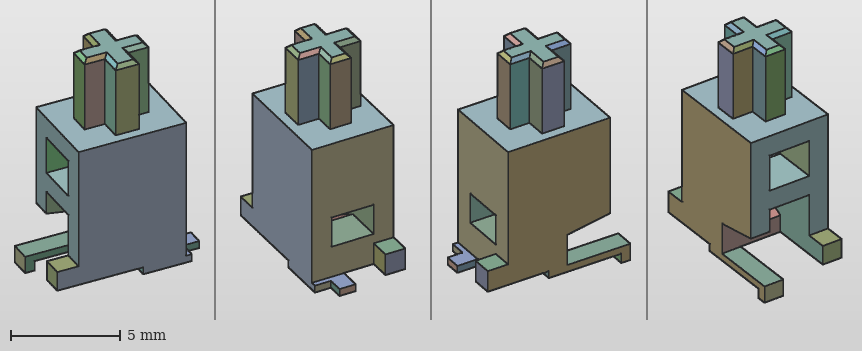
import cadquery as cq
import math

width = 4.3
depth = 7.7
height = 11.8

body_depth = 5.52
body_top = 8.08
body_bottom = 0.88
side_wall = 1.05
left = -width / 2
right = width / 2
body_front = -body_depth / 2
body_back = body_depth / 2
opening_width = width - 2 * side_wall
opening_left = left + side_wall
opening_right = right - side_wall

foot_length = (depth - body_depth) / 2
front_foot_top = 1.9
back_foot_top = 2.01

window_bottom = 5.12
window_top = 7.02
window_ramp_rise = 0.6
passage_top = 4.1
sill_front = -0.45
sill_bottom = 1.78
sill_top = 2.51
ramp_angle = math.radians(30)

notch_back_top = 2.51
notch_front_top = 2.9

contact_bottom = 0.51
contact_start = 0.55
hook_length = 0.5
jog_left = 0.46
jog_width = 0.85
jog_start = 1.57
outer_strip_end = 3.05

plunger_span = 3.28
x_arm_width = 1.2
y_arm_width = 1.11
plunger_chamfer = 0.2


def block(x_range, y_range, z_range):
    """Axis-aligned box between the given limits."""
    sizes = [end - start for start, end in (x_range, y_range, z_range)]
    corner = (x_range[0], y_range[0], z_range[0])
    return cq.Workplane("XY").box(*sizes, centered=False).translate(corner)


def side_profile(points, x_start, x_length):
    """Prism along +X from an outline of (y, z) points."""
    return cq.Workplane("YZ", origin=(x_start, 0, 0)).polyline(points).close().extrude(x_length)


def ramp_length(rise):
    return rise / math.tan(ramp_angle)


def make_body():
    body = block((left, right), (body_front, body_back), (body_bottom, body_top))
    front_foot = block((opening_right, right), (body_front - foot_length, body_front), (body_bottom, front_foot_top))
    back_foot = block((left, opening_left), (body_back, body_back + foot_length), (body_bottom, back_foot_top))
    return body.union(front_foot).union(back_foot)


def window_cutter():
    """Blind window with a flat floor that ramps up to its back wall."""
    window_back = sill_front + ramp_length(window_ramp_rise)
    outline = [
        (body_front, window_bottom),
        (sill_front, window_bottom),
        (window_back, window_bottom + window_ramp_rise),
        (window_back, window_top),
        (body_front, window_top),
    ]
    return side_profile(outline, opening_left, opening_width)


def passage_cutter():
    """Through opening above a ramped sill, open at the bottom in front of the sill."""
    outline = [
        (body_front, body_bottom),
        (sill_front, body_bottom),
        (sill_front, sill_bottom),
        (sill_front + ramp_length(sill_top - sill_bottom), sill_top),
        (body_back, sill_top),
        (body_back, passage_top),
        (body_front, passage_top),
    ]
    return side_profile(outline, opening_left, opening_width)


def notch_cutter():
    """Cutaway with a sloping ceiling in the front of the left wall."""
    outline = [
        (body_front, body_bottom),
        (sill_front, body_bottom),
        (sill_front, notch_back_top),
        (body_front, notch_front_top),
    ]
    return side_profile(outline, left, side_wall)


def make_contacts():
    strip_z = (contact_bottom, body_bottom)
    front_strip = block((left, opening_left), (-depth / 2, contact_start), strip_z)
    hook = block((left, opening_left), (-depth / 2, -depth / 2 + hook_length), (0, body_bottom))
    back_strip = block((opening_right, right), (contact_start, outer_strip_end), strip_z)
    jog = block((jog_left, jog_left + jog_width), (jog_start, depth / 2), strip_z)
    return front_strip.union(hook).union(back_strip.union(jog))


def make_plunger():
    plunger_height = height - body_top
    base = cq.Workplane("XY", origin=(0, 0, body_top))
    x_arm = base.rect(plunger_span, x_arm_width).extrude(plunger_height)
    y_arm = base.rect(y_arm_width, plunger_span).extrude(plunger_height)
    return x_arm.union(y_arm).faces(">Z").chamfer(plunger_chamfer)


body = make_body().cut(window_cutter()).cut(passage_cutter()).cut(notch_cutter())
result = body.union(make_contacts()).union(make_plunger())